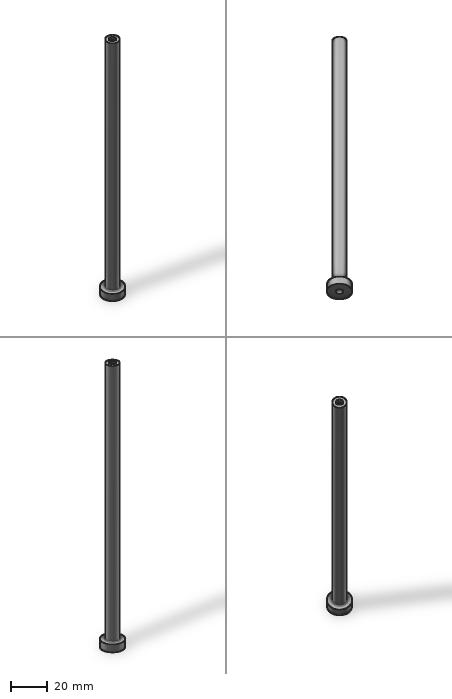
import cadquery as cq

total_length = 175.0
head_diameter = 14.0
head_thickness = 5.0
shaft_diameter = 8.0
bore_diameter = 4.0
neck_fillet_radius = 0.5


def make_head():
    """Flat round head resting on the XY plane."""
    return cq.Workplane("XY").circle(head_diameter / 2).extrude(head_thickness)


def add_shaft(body):
    """Round shaft rising from the head to the full length of the sleeve."""
    shaft = cq.Workplane("XY").circle(shaft_diameter / 2).extrude(total_length)
    return body.union(shaft)


def round_neck(body):
    """Fillet the inside corner where the shaft meets the head."""
    neck_size = shaft_diameter / 2 + neck_fillet_radius
    neck_zone = cq.selectors.BoxSelector(
        (-neck_size, -neck_size, head_thickness - neck_fillet_radius),
        (neck_size, neck_size, head_thickness + neck_fillet_radius),
        boundingbox=True,
    )
    return body.edges("%CIRCLE").edges(neck_zone).fillet(neck_fillet_radius)


def cut_bore(body):
    """Through bore along the axis of the sleeve."""
    bore = cq.Workplane("XY").circle(bore_diameter / 2).extrude(total_length)
    return body.cut(bore)


sleeve = make_head()
sleeve = add_shaft(sleeve)
sleeve = round_neck(sleeve)
sleeve = cut_bore(sleeve)

result = sleeve